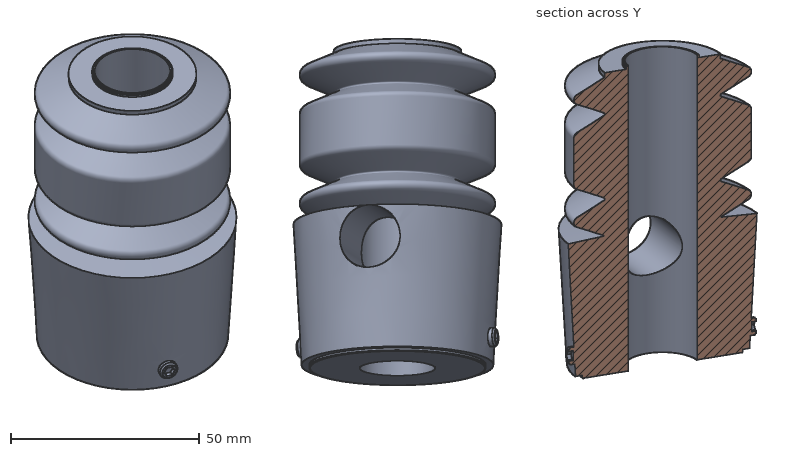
import cadquery as cq
import math

total_height = 86.65
bore_radius = 20.0 / 2
lip_height = 0.9
lip_bevel = 0.3
top_lip_radius = 10.75
bottom_lip_radius = 23.5

cup_bottom_radius = 25.5
cup_top_radius = 27.6
cup_rim_z = 38.9

shed_radius = 26.0
neck_radius = 34.0 / 2
shed_center_z = 61.95
block_straight_height = 13.35
ridge_rounding = 1.6
flank_angle = math.radians(24.7)
neck_rounding = 0.35
ridge_center_r = shed_radius - ridge_rounding
tangent_r = ridge_center_r + ridge_rounding * math.sin(flank_angle)
tangent_rise = ridge_rounding * math.cos(flank_angle)
flank_end_r = neck_radius + neck_rounding * (1 - math.sin(flank_angle))
flank_rise = (tangent_r - flank_end_r) * math.tan(flank_angle)
neck_half_height = neck_rounding * math.cos(flank_angle)
neck_offset = block_straight_height / 2 + tangent_rise + flank_rise + neck_half_height
shed_spacing = 2 * neck_offset - block_straight_height / 2

screw_z = 6.9
screw_radius = 5.0 / 2
screw_reach = 27.4
screw_chamfer = 0.5
screw_embed = 4.3
socket_flats = 2.6
socket_depth = 1.3

port_radius = 8.3
port_z = 30.6


def add_shed(outline, center_z, straight_height):
    """Extend the outline upward around one shed, flank end to flank end."""
    low_z = center_z - straight_height / 2
    high_z = center_z + straight_height / 2
    diagonal = (math.pi / 2 + flank_angle) / 2
    mid_r = ridge_center_r + ridge_rounding * math.sin(diagonal)
    mid_rise = ridge_rounding * math.cos(diagonal)
    low_tangent = (tangent_r, low_z - tangent_rise)
    high_tangent = (tangent_r, high_z + tangent_rise)

    outline = outline.lineTo(*low_tangent)
    if straight_height > 0:
        outline = outline.threePointArc((mid_r, low_z - mid_rise), (shed_radius, low_z))
        outline = outline.lineTo(shed_radius, high_z)
        outline = outline.threePointArc((mid_r, high_z + mid_rise), high_tangent)
    else:
        outline = outline.threePointArc((shed_radius, center_z), high_tangent)
    return outline.lineTo(flank_end_r, high_z + tangent_rise + flank_rise)


def add_neck(outline, neck_z):
    """Extend the outline upward through the rounded groove between two sheds."""
    return outline.threePointArc((neck_radius, neck_z), (flank_end_r, neck_z + neck_half_height))


def make_body():
    """Revolve the cup, sheds and end lips around the bore."""
    top_face_z = total_height - lip_height
    top_flank_rise = (tangent_r - neck_radius) * math.tan(flank_angle)
    collar_bottom_z = shed_center_z + shed_spacing + tangent_rise + top_flank_rise
    lowest_shed_z = shed_center_z - shed_spacing
    outline = (
        cq.Workplane("XZ")
        .moveTo(bore_radius, 0)
        .lineTo(bottom_lip_radius - lip_bevel, 0)
        .lineTo(bottom_lip_radius, lip_bevel)
        .lineTo(bottom_lip_radius, lip_height)
        .lineTo(cup_bottom_radius, lip_height)
        .lineTo(cup_top_radius, cup_rim_z)
        .lineTo(flank_end_r, lowest_shed_z - tangent_rise - flank_rise)
    )
    outline = add_shed(outline, lowest_shed_z, 0)
    outline = add_neck(outline, shed_center_z - neck_offset)
    outline = add_shed(outline, shed_center_z, block_straight_height)
    outline = add_neck(outline, shed_center_z + neck_offset)
    outline = add_shed(outline, shed_center_z + shed_spacing, 0)
    outline = (
        outline.lineTo(neck_radius, collar_bottom_z)
        .lineTo(neck_radius, top_face_z)
        .lineTo(top_lip_radius, top_face_z)
        .lineTo(top_lip_radius, total_height - lip_bevel)
        .lineTo(top_lip_radius - lip_bevel, total_height)
        .lineTo(bore_radius, total_height)
        .close()
    )
    return outline.revolve(360, (0, 0, 0), (0, 1, 0))


def make_screw():
    """Hex-socket screw head pointing along +X."""
    head = (
        cq.Workplane("YZ", origin=(screw_reach - screw_embed, 0, screw_z))
        .circle(screw_radius)
        .extrude(screw_embed)
        .faces(">X")
        .chamfer(screw_chamfer)
    )
    socket_corners = socket_flats / math.cos(math.pi / 6)
    socket = (
        cq.Workplane("YZ", origin=(screw_reach - socket_depth, 0, screw_z))
        .polygon(6, socket_corners)
        .extrude(socket_depth)
    )
    return head, socket


def make_port():
    """Radial cutter from the central bore out through the +Y wall."""
    return (
        cq.Workplane("XZ", origin=(0, 0, port_z))
        .circle(port_radius)
        .extrude(-cup_top_radius)
    )


result = make_body().cut(make_port())
screw_head, screw_socket = make_screw()
for turn in (0, 180):
    result = result.union(screw_head.rotate((0, 0, 0), (0, 0, 1), turn))
    result = result.cut(screw_socket.rotate((0, 0, 0), (0, 0, 1), turn))